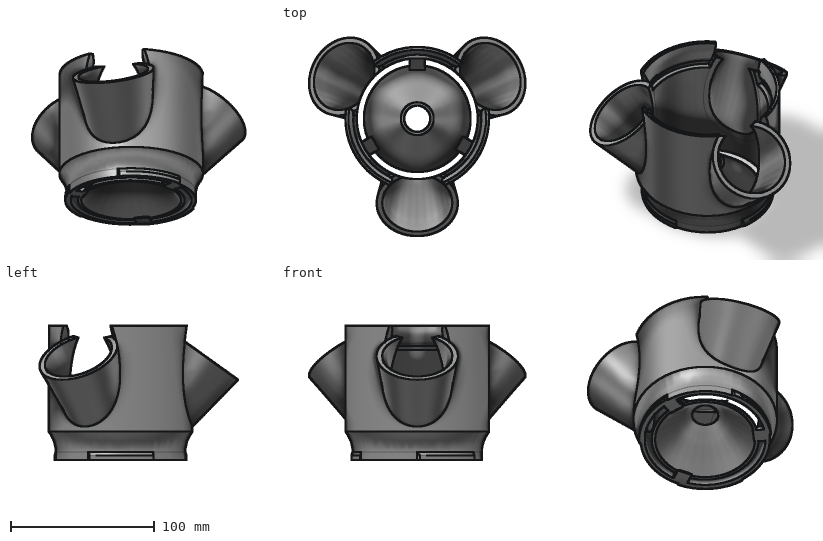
import cadquery as cq
import math

body_height = 93.6
body_radius = 50.0
bore_radius = 42.0
body_bottom = 19.9

skirt_radius = 45.0
skirt_height = 5.9

seat_height = 76.5
lip_bottom = 79.5
lip_top = 82.2
lip_radius = 44.5
groove_radius = 45.7
rim_inner_radius = 47.9

tube_angles = (30, 150, 270)
mouth_offset = 58.7
mouth_height = 72.4
mouth_outer_radius = 28.3
mouth_inner_radius = 24.4
tube_elevation = 54.4
tube_taper = 8.7
tube_depth = 90.3
clearance_height = 33.1

lug_angles = (30, 150, 270)
lug_span = 60
lug_radius = 45.9
lug_face_height = 3.2
lug_root_radius = (bore_radius + skirt_radius) / 2
lug_ramp_length = 1.8

cone_base_radius = 37.2
cone_top_radius = 11.5
cone_hole_radius = 9.0
cone_wall = cone_top_radius - cone_hole_radius
cone_height = cone_base_radius - cone_top_radius
bridge_angles = (90, 210, 330)
bridge_width = 10.5
bridge_inner_radius = 33.7
bridge_height = cone_base_radius - bridge_inner_radius
bridge_overlap = 1.5


def vertical_arc_point(r_tangent, z_tangent, r_end, z_end, z):
    """Point at height z on an arc that is vertical at its tangent end."""
    rise = z_end - z_tangent
    run = r_end - r_tangent
    radius = (run**2 + rise**2) / (2 * abs(run))
    sag = radius - math.sqrt(radius**2 - (z - z_tangent) ** 2)
    return (r_tangent + math.copysign(sag, run), z)


def around_axis(shape, angle):
    return shape.rotate((0, 0, 0), (0, 0, 1), angle)


def round_solid(r_bottom, r_top, height):
    profile = [(0, 0), (r_bottom, 0), (r_top, height), (0, height)]
    return cq.Workplane("XZ").polyline(profile).close().revolve(360, (0, 0), (0, 1))


def make_body():
    neck_mid = vertical_arc_point(
        skirt_radius, skirt_height, body_radius, body_bottom, (skirt_height + body_bottom) / 2
    )
    flare_mid = vertical_arc_point(
        lip_radius, lip_top, rim_inner_radius, body_height, (lip_top + body_height) / 2
    )
    bead_mid = vertical_arc_point(
        lip_radius, lip_top, groove_radius, lip_bottom, (lip_top + lip_bottom) / 2
    )
    return (
        cq.Workplane("XZ")
        .moveTo(bore_radius, 0)
        .lineTo(skirt_radius, 0)
        .lineTo(skirt_radius, skirt_height)
        .threePointArc(neck_mid, (body_radius, body_bottom))
        .lineTo(body_radius, body_height)
        .lineTo(rim_inner_radius, body_height)
        .threePointArc(flare_mid, (lip_radius, lip_top))
        .threePointArc(bead_mid, (groove_radius, lip_bottom))
        .lineTo(groove_radius, seat_height)
        .lineTo(bore_radius, seat_height)
        .close()
        .revolve(360, (0, 0), (0, 1))
    )


def place_on_tube(shape, angle):
    """Move a shape built along Z, with its mouth at the origin, onto a tube axis."""
    tilted = shape.rotate((0, 0, 0), (0, 1, 0), 90 - tube_elevation)
    return around_axis(tilted.translate((mouth_offset, 0, mouth_height)), angle)


def tube_form(mouth_radius, angle, clearance=0):
    """Solid that widens along the tube axis and ends above the mouth by the clearance."""
    slope = math.tan(math.radians(tube_taper))
    deep_radius = mouth_radius - tube_depth * slope
    profile = [
        (0, -tube_depth),
        (deep_radius, -tube_depth),
        (mouth_radius + clearance * slope, clearance),
        (0, clearance),
    ]
    form = cq.Workplane("XZ").polyline(profile).close().revolve(360, (0, 0), (0, 1))
    return place_on_tube(form, angle)


def outer_side(angle):
    """Half space on the tube's own side of the body axis."""
    size = 2 * body_height
    return around_axis(cq.Workplane("XY").box(size, size, size, centered=(False, True, False)), angle)


def make_tube(angle):
    """Hollow tube that ends flush with the bore."""
    bore = round_solid(bore_radius, bore_radius, body_height)
    outer = tube_form(mouth_outer_radius, angle).cut(bore).intersect(outer_side(angle))
    return outer.cut(tube_form(mouth_inner_radius, angle, clearance_height))


def add_tubes(body):
    for angle in tube_angles:
        opening = tube_form(mouth_outer_radius, angle, clearance_height)
        body = body.cut(opening.intersect(outer_side(angle)))
    for angle in tube_angles:
        body = body.union(make_tube(angle))
    return body


def make_lug():
    """Lug with a sloped top and a lead-in ramp at its starting end."""
    profile = [
        (lug_root_radius, 0),
        (lug_radius, 0),
        (lug_radius, lug_face_height),
        (skirt_radius, skirt_height),
        (lug_root_radius, skirt_height),
    ]
    lug = cq.Workplane("XZ").polyline(profile).close().revolve(lug_span, (0, 0), (0, 1))
    rise = 2 * (lug_radius - skirt_radius)
    ramp = [
        (skirt_radius, 0),
        (skirt_radius + rise, 2 * lug_ramp_length),
        (skirt_radius + rise, -lug_ramp_length),
        (skirt_radius, -lug_ramp_length),
    ]
    return lug.cut(cq.Workplane("XY").polyline(ramp).close().extrude(skirt_height))


def make_cone():
    outer = round_solid(cone_base_radius, cone_top_radius, cone_height)
    return outer.cut(round_solid(cone_base_radius - cone_wall, cone_hole_radius, cone_height))


def make_bridge(angle):
    length = bore_radius + bridge_overlap - bridge_inner_radius
    bridge = cq.Workplane("XY").box(length, bridge_width, bridge_height, centered=(False, True, False))
    return around_axis(bridge.translate((bridge_inner_radius, 0, 0)), angle)


body = make_body()
for lug_angle in lug_angles:
    body = body.union(around_axis(make_lug(), lug_angle))

bridged_cone = make_cone()
for bridge_angle in bridge_angles:
    bridged_cone = bridged_cone.union(make_bridge(bridge_angle))

result = add_tubes(body).union(bridged_cone)